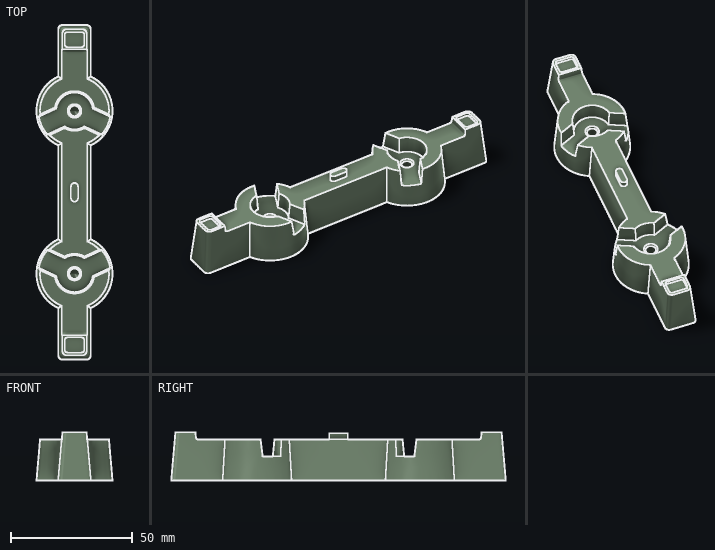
import cadquery as cq
import math

length = 137.5
bar_width = 13.5
disc_diameter = 31.4
disc_spacing = 66.8
total_height = 20.0
deck_height = 16.9
draft_angle = 5.0
bar_corner_radius = 1.9

post_length = 10.3
post_foot_radius = 1.0
recess_width = 8.0
recess_length = 6.2
recess_depth = 1.5
recess_corner_radius = 1.1
recess_end_distance = 6.0

seat_floor = 9.9
seat_bore_diameter = 15.1
channel_floor_width = 8.1
channel_bend_angle = 25.0
pin_hole_mouth_diameter = 5.6
pin_hole_diameter = 4.3
countersink_depth = 0.7
pin_hole_depth = 5.5
pin_hole_tip_angle = 118.0

key_width = 2.9
key_length = 7.7
key_top = 19.5


def make_bar():
    """Full-height drafted bar with rounded vertical corners."""
    bar = (
        cq.Workplane("XY")
        .rect(bar_width, length)
        .extrude(total_height, taper=draft_angle)
    )
    corners = bar.edges("not(#Z or |X or |Y)")
    return corners.fillet(bar_corner_radius)


def make_deck_clearance():
    """Volume above the deck and between the two end posts."""
    step = total_height - deck_height
    foot_length = length - 2 * post_length
    clearance = (
        cq.Workplane("XY", origin=(0, 0, deck_height))
        .rect(2 * bar_width, foot_length)
        .extrude(step, taper=-draft_angle)
    )
    return clearance.faces("<Z").edges("|X").fillet(post_foot_radius)


def make_disc(center_y):
    return (
        cq.Workplane("XY")
        .center(0, center_y)
        .circle(disc_diameter / 2)
        .extrude(deck_height, taper=draft_angle)
    )


def make_channel_arm(side):
    """Drafted channel running from the disc center toward +Y on one side."""
    reach = disc_diameter
    floor_plane = cq.Workplane("XY", origin=(0, 0, seat_floor))
    return (
        floor_plane
        .center(side * reach / 2, 0)
        .rect(reach, channel_floor_width)
        .extrude(total_height - seat_floor, taper=-draft_angle)
        .rotate((0, 0, 0), (0, 0, 1), side * channel_bend_angle)
    )


def make_pin_hole():
    """Countersunk blind hole with a conical drill tip, revolved about Z."""
    radius = pin_hole_diameter / 2
    hole_bottom = seat_floor - pin_hole_depth
    tip_depth = radius / math.tan(math.radians(pin_hole_tip_angle / 2))
    return (
        cq.Workplane("XZ")
        .moveTo(0, seat_floor)
        .lineTo(pin_hole_mouth_diameter / 2, seat_floor)
        .lineTo(radius, seat_floor - countersink_depth)
        .lineTo(radius, hole_bottom)
        .lineTo(0, hole_bottom - tip_depth)
        .close()
        .revolve(360, (0, 0, 0), (0, 1, 0))
    )


def make_seat_cutter():
    """Bore, bent channel and pin hole, with the channel bending toward +Y."""
    floor_plane = cq.Workplane("XY", origin=(0, 0, seat_floor))
    bore = (
        floor_plane
        .circle(seat_bore_diameter / 2)
        .extrude(total_height - seat_floor, taper=-draft_angle)
    )
    cutter = bore.union(make_pin_hole())
    for side in (-1, 1):
        cutter = cutter.union(make_channel_arm(side))
    return cutter


def make_recess(end):
    center_y = end * (length / 2 - recess_end_distance)
    return (
        cq.Workplane("XY", origin=(0, center_y, total_height - recess_depth))
        .rect(recess_width, recess_length)
        .extrude(recess_depth)
        .edges("|Z")
        .fillet(recess_corner_radius)
    )


def make_key():
    return (
        cq.Workplane("XY", origin=(0, 0, deck_height))
        .slot2D(key_length, key_width, 90)
        .extrude(key_top - deck_height)
    )


result = make_bar().cut(make_deck_clearance())
for end in (-1, 1):
    result = result.union(make_disc(end * disc_spacing / 2))

for end in (-1, 1):
    turn = 180 if end > 0 else 0
    seat = make_seat_cutter().rotate((0, 0, 0), (0, 0, 1), turn)
    result = result.cut(seat.translate((0, end * disc_spacing / 2, 0)))
    result = result.cut(make_recess(end))

result = result.union(make_key())